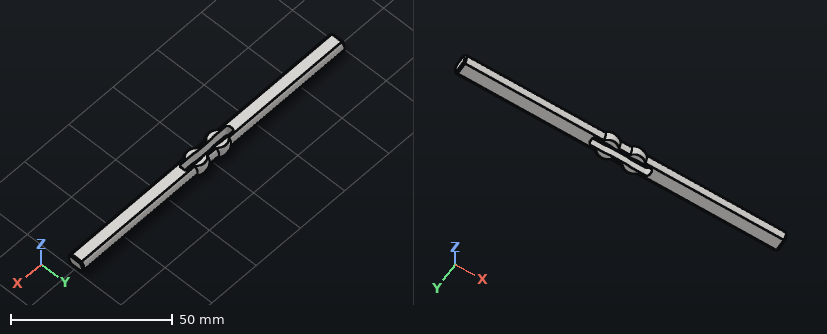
import cadquery as cq

rod_length = 118.75
rod_radius = 3.3
rod_height = 5.0
end_chamfer = 0.5

bead_radius = 4.3
bead_spacing = 9.7

slot_length = 22.0
slot_width = 3.0
slot_corner_radius = 1.0
waist_width = 2.6
waist_length = 6.0
taper_span = 10.0


def make_rod():
    bar = cq.Workplane("YZ").circle(rod_radius).extrude(rod_length / 2, both=True)
    flats = cq.Workplane("XY").box(rod_length, 2 * rod_radius, rod_height)
    return bar.intersect(flats).faces("<X or >X").chamfer(end_chamfer)


def make_bead(center_x):
    ball = cq.Workplane("XY").sphere(bead_radius)
    flats = cq.Workplane("XY").box(2 * bead_radius, 2 * bead_radius, rod_height)
    return ball.intersect(flats).translate((center_x, 0, 0))


def make_waist_wall():
    """Rib on the +Y side of the slot that narrows it to the waist."""
    return (
        cq.Workplane("XY")
        .workplane(offset=-rod_height / 2)
        .polyline([
            (-taper_span / 2, slot_width / 2),
            (-waist_length / 2, waist_width / 2),
            (waist_length / 2, waist_width / 2),
            (taper_span / 2, slot_width / 2),
        ])
        .close()
        .extrude(rod_height)
    )


def make_slot():
    opening = cq.Workplane("XY").box(slot_length, slot_width, rod_height)
    opening = opening.edges("|Z").fillet(slot_corner_radius)
    wall = make_waist_wall()
    return opening.cut(wall).cut(wall.mirror("XZ"))


result = make_rod()
for side in (-1, 1):
    result = result.union(make_bead(side * bead_spacing / 2))
result = result.cut(make_slot())